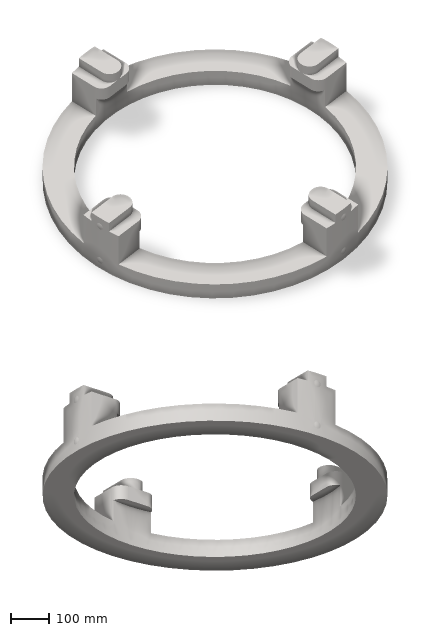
import cadquery as cq

outside_width = 904.0
ring_outer_diameter = 900.0
ring_inner_diameter = 736.0
ring_height = 50.0

block_count = 4
block_width = 123.0
block_top = 150.0
nose_bottom = 110.0
nose_radius = 30.0
inner_reach = 339.0

ridge_width = 61.5
overall_height = 180.0
ridge_corner_radius = 30.0

button_diameter = 20.0
button_heights = (30.0, block_top)

ring_outer_radius = ring_outer_diameter / 2
ring_inner_radius = ring_inner_diameter / 2
button_rise = (outside_width - ring_outer_diameter) / 2
dome_radius = ((button_diameter / 2) ** 2 + button_rise**2) / (2 * button_rise)


def disc(radius, bottom, top):
    return cq.Workplane("XY").workplane(offset=bottom).circle(radius).extrude(top - bottom)


def radial_bar(width, bottom, top, corner_radius):
    """Bar along +X with rounded inner corners, reaching past the outer cylinder of the ring."""
    return (
        cq.Workplane("XY")
        .box(outside_width / 2 - inner_reach, width, top - bottom, centered=(False, True, False))
        .translate((inner_reach, 0, bottom))
        .edges("|Z and <X")
        .fillet(corner_radius)
    )


def support_block():
    post = radial_bar(block_width, 0, block_top, nose_radius)
    ridge = radial_bar(ridge_width, block_top, overall_height, ridge_corner_radius)
    return post.union(ridge)


def button(height):
    """Sphere sunk into the block so that only a shallow cap stands proud."""
    center_distance = outside_width / 2 - dome_radius
    return cq.Workplane("XY").sphere(dome_radius).translate((center_distance, 0, height))


def around_ring(feature):
    return [
        feature.rotate((0, 0, 0), (0, 0, 1), index * 360 / block_count)
        for index in range(block_count)
    ]


result = disc(outside_width / 2, 0, ring_height)
for block in around_ring(support_block()):
    result = result.union(block)
result = result.intersect(disc(ring_outer_radius, 0, overall_height))

result = result.cut(disc(ring_inner_radius, 0, nose_bottom))

for button_height in button_heights:
    for cap in around_ring(button(button_height)):
        result = result.union(cap)